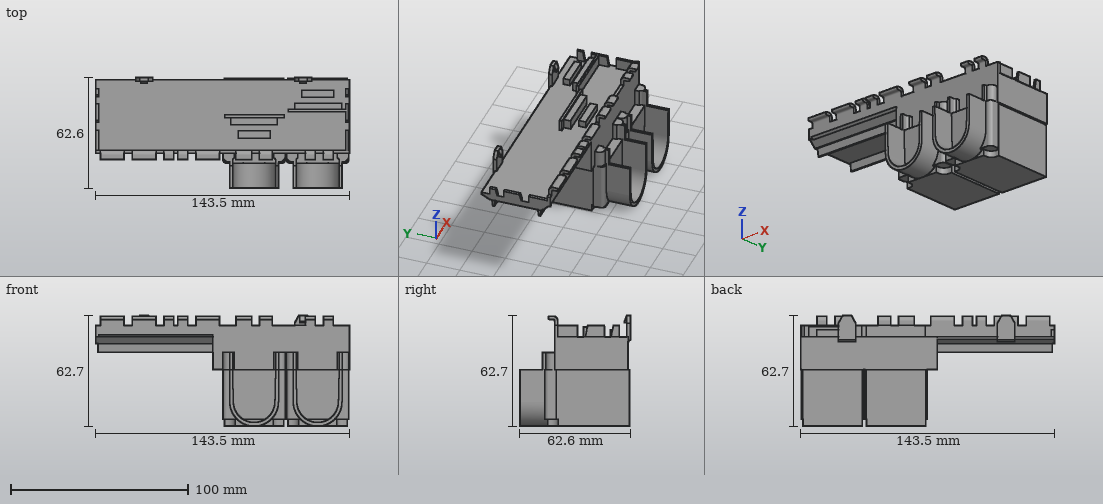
import cadquery as cq


length = 143.5
depth = 41.6
floor_top = 50.5
tray_bottom = 46.7
front_slope_top = 51.7
front_slope_run = 5.2
back_slope_top = 49.2
back_slope_run = 5.2
wall = 1.9
wall_top = 57.0

body_left = 66.3
body_bottom = 32.0

rail_left = 1.3
rail_bottom = 41.8
rail_top_width = 2.2
rail_bottom_width = 1.0
rail_centres = (7.0, 34.7)

hook_spans = (
    (2.7, 16.1),
    (20.7, 34.2),
    (38.6, 44.2),
    (46.4, 52.1),
    (56.7, 70.0),
    (79.2, 88.3),
    (92.6, 99.9),
    (118.6, 124.2),
    (128.8, 134.4),
)
hook_top = 62.3
hook_reach = 3.6
hook_thickness = 2.0
hook_outer_radius = 2.7
hook_inner_radius = 0.9

tooth_spans = ((0.0, 13.0, False), (17.5, 28.1, True), (32.0, 36.6, True))
tooth_slope_run = 1.1
left_teeth_top = 54.4
right_end_setback = 0.7
right_wall_left = 141.4

tab_centres = (27.4, 117.3)
tab_width = 9.8
tab_tip_width = 4.9
tab_front = 40.8
tab_back = 42.9
tab_bottom = 47.7
tab_bottom_chamfer = 1.3
tab_shoulder = 58.3
tab_top = 62.7
bump_width = 3.7
bump_reach = 1.3
bump_bottom = 58.5
bump_lip_top = 59.3

block_top = 56.1
pad_top = 54.4
floor_stops = (
    (73.0, 106.5, 20.2, 21.8, wall_top),
    (76.2, 102.6, 16.2, 20.2, block_top),
    (80.5, 98.8, 8.6, 12.8, pad_top),
    (109.0, right_wall_left, 23.4, 24.8, wall_top),
    (112.5, 139.0, 24.8, 28.4, block_top),
    (116.4, 134.5, 31.6, 35.6, pad_top),
)

socket_centre = 89.6
socket_pitch = 35.9
socket_count = 2
box_half_width = 16.8
box_back = 42.5
box_front = -5.6
foot_front = -3.9
foot_height = 3.9
foot_half_width = 10.8
foot_side_front = 2.2
foot_arc_half_width = 14.4
foot_arc_front = -1.7
foot_arc_radius = 4.0
tube_front = -19.7
tube_radius = 13.8
bore_radius = 11.8
bore_top_half_width = 12.2
bore_floor = 2.2

post_half_width = 17.7
post_top = 41.8
post_inner = 11.2
post_arc_start = -1.7
post_arc_end = -4.9
post_arc_radius = 3.3
post_scoop_start = -2.6
post_scoop_end = -3.9
post_scoop_radius = 1.9
fin_front = -6.9
column_arc_start = -3.7
column_arc_run = 2.6
column_arc_radius = 2.3
column_blend_front = 1.0
column_blend_back = 1.9


def box(x0, x1, y0, y1, z0, z1):
    """Block between two opposite corners."""
    return cq.Workplane("XY").box(x1 - x0, y1 - y0, z1 - z0, centered=False).translate((x0, y0, z0))


def end_profile(x):
    """Sketch in Y and Z on the plane at x; extruding runs toward +X."""
    return cq.Workplane("YZ", origin=(x, 0, 0))


def make_tray():
    """Floor with sloped long edges and a front wall, joined to the body below its right half."""
    outline = [
        (0, wall_top),
        (0, front_slope_top),
        (front_slope_run, tray_bottom),
        (depth - back_slope_run, tray_bottom),
        (depth, back_slope_top),
        (depth, floor_top),
        (wall, floor_top),
        (wall, wall_top),
    ]
    tray = end_profile(0).polyline(outline).close().extrude(length)
    body = box(body_left, length, 0, depth, body_bottom, floor_top)
    front_skin = box(body_left, length, 0, wall, body_bottom, wall_top)
    return tray.union(body).union(front_skin)


def make_rail(centre):
    outline = [
        (centre - rail_top_width / 2, tray_bottom),
        (centre - rail_bottom_width / 2, rail_bottom),
        (centre + rail_bottom_width / 2, rail_bottom),
        (centre + rail_top_width / 2, tray_bottom),
    ]
    return end_profile(rail_left).polyline(outline).close().extrude(body_left - rail_left)


def make_hook(left, right):
    underside = hook_top - hook_thickness
    tip_radius = hook_thickness / 2
    tip_start = -hook_reach + tip_radius
    return (
        end_profile(left)
        .moveTo(wall, wall_top)
        .lineTo(wall, hook_top - hook_outer_radius)
        .radiusArc((wall - hook_outer_radius, hook_top), -hook_outer_radius)
        .lineTo(tip_start, hook_top)
        .threePointArc((-hook_reach, hook_top - tip_radius), (tip_start, underside))
        .lineTo(-hook_inner_radius, underside)
        .radiusArc((0, underside - hook_inner_radius), hook_inner_radius)
        .lineTo(0, wall_top)
        .close()
        .extrude(right - left)
    )


def make_end_teeth(left, right, top):
    teeth = cq.Workplane("XY")
    for front, back, sloped in tooth_spans:
        top_front = front + tooth_slope_run if sloped else front
        outline = [(front, floor_top), (top_front, top), (back, top), (back, floor_top)]
        teeth = teeth.union(end_profile(left).polyline(outline).close().extrude(right - left))
    return teeth


def make_tab(centre):
    outline = [
        (centre - tab_width / 2, tab_bottom),
        (centre - tab_width / 2, tab_shoulder),
        (centre - tab_tip_width / 2, tab_top),
        (centre + tab_tip_width / 2, tab_top),
        (centre + tab_width / 2, tab_shoulder),
        (centre + tab_width / 2, tab_bottom),
    ]
    plate = (
        cq.Workplane("XZ", origin=(0, tab_back, 0))
        .polyline(outline)
        .close()
        .extrude(tab_back - tab_front)
        .faces("<Z")
        .edges(">Y")
        .chamfer(tab_bottom_chamfer)
    )
    bump_front = tab_front - bump_reach
    bump_outline = [
        (tab_front, tab_top),
        (bump_front, bump_lip_top),
        (bump_front, bump_bottom),
        (tab_front, bump_bottom),
    ]
    bump = end_profile(centre - bump_width / 2).polyline(bump_outline).close().extrude(bump_width)
    return plate.union(bump)


def make_floor_stops():
    stops = cq.Workplane("XY")
    for left, right, front, back, top in floor_stops:
        stops = stops.union(box(left, right, front, back, floor_top, top))
    return stops


def make_foot():
    """Lowest slice of a socket, with concave front corners."""
    return (
        cq.Workplane("XY")
        .moveTo(-box_half_width, box_back)
        .lineTo(-box_half_width, foot_side_front)
        .lineTo(-foot_arc_half_width, foot_side_front)
        .radiusArc((-foot_half_width, foot_arc_front), foot_arc_radius)
        .lineTo(-foot_half_width, foot_front)
        .lineTo(foot_half_width, foot_front)
        .lineTo(foot_half_width, foot_arc_front)
        .radiusArc((foot_arc_half_width, foot_side_front), foot_arc_radius)
        .lineTo(box_half_width, foot_side_front)
        .lineTo(box_half_width, box_back)
        .close()
        .extrude(foot_height)
    )


def make_block():
    """Socket above the foot, widening into a rounded column at each front corner."""
    column_flat = post_half_width - column_arc_run
    blend_radius = column_blend_back - column_blend_front
    return (
        cq.Workplane("XY", origin=(0, 0, foot_height))
        .moveTo(-box_half_width, box_back)
        .lineTo(-box_half_width, column_blend_back)
        .radiusArc((-post_half_width, column_blend_front), blend_radius)
        .lineTo(-post_half_width, column_arc_start)
        .radiusArc((-column_flat, box_front), -column_arc_radius)
        .lineTo(column_flat, box_front)
        .radiusArc((post_half_width, column_arc_start), -column_arc_radius)
        .lineTo(post_half_width, column_blend_front)
        .radiusArc((box_half_width, column_blend_back), blend_radius)
        .lineTo(box_half_width, box_back)
        .close()
        .extrude(body_bottom - foot_height)
    )


def make_tube():
    """Open-topped U-shaped tube with a slightly flared bore."""
    tube_length = foot_front - tube_front
    outer = (
        cq.Workplane("XZ", origin=(0, foot_front, 0))
        .moveTo(-tube_radius, body_bottom)
        .lineTo(-tube_radius, tube_radius)
        .threePointArc((0, 0), (tube_radius, tube_radius))
        .lineTo(tube_radius, body_bottom)
        .close()
        .extrude(tube_length)
    )
    bore_centre = bore_floor + bore_radius
    bore = (
        cq.Workplane("XZ", origin=(0, foot_front, 0))
        .moveTo(-bore_top_half_width, body_bottom)
        .lineTo(-bore_radius, bore_centre)
        .threePointArc((0, bore_floor), (bore_radius, bore_centre))
        .lineTo(bore_top_half_width, body_bottom)
        .close()
        .extrude(tube_length)
    )
    return outer.cut(bore)


def make_post():
    """Left post on top of a socket, ending in a thin fin over the tube wall."""
    return (
        cq.Workplane("XY", origin=(0, 0, body_bottom))
        .moveTo(-post_half_width, 0)
        .lineTo(-post_half_width, post_arc_start)
        .radiusArc((-tube_radius, post_arc_end), -post_arc_radius)
        .lineTo(-tube_radius, fin_front)
        .lineTo(-bore_top_half_width, fin_front)
        .lineTo(-bore_top_half_width, post_scoop_end)
        .radiusArc((-post_inner, post_scoop_start), post_scoop_radius)
        .lineTo(-post_inner, 0)
        .close()
        .extrude(post_top - body_bottom)
    )


def make_socket(centre):
    left_post = make_post()
    socket = make_foot().union(make_block()).union(make_tube())
    socket = socket.union(left_post).union(left_post.mirror("YZ"))
    return socket.translate((centre, 0, 0))


result = make_tray()
for rail_centre in rail_centres:
    result = result.union(make_rail(rail_centre))
for hook_left, hook_right in hook_spans:
    result = result.union(make_hook(hook_left, hook_right))
result = result.union(make_end_teeth(0, wall, left_teeth_top))
result = result.union(make_end_teeth(right_wall_left, length - right_end_setback, wall_top))
for tab_centre in tab_centres:
    result = result.union(make_tab(tab_centre))
result = result.union(make_floor_stops())
for index in range(socket_count):
    result = result.union(make_socket(socket_centre + index * socket_pitch))